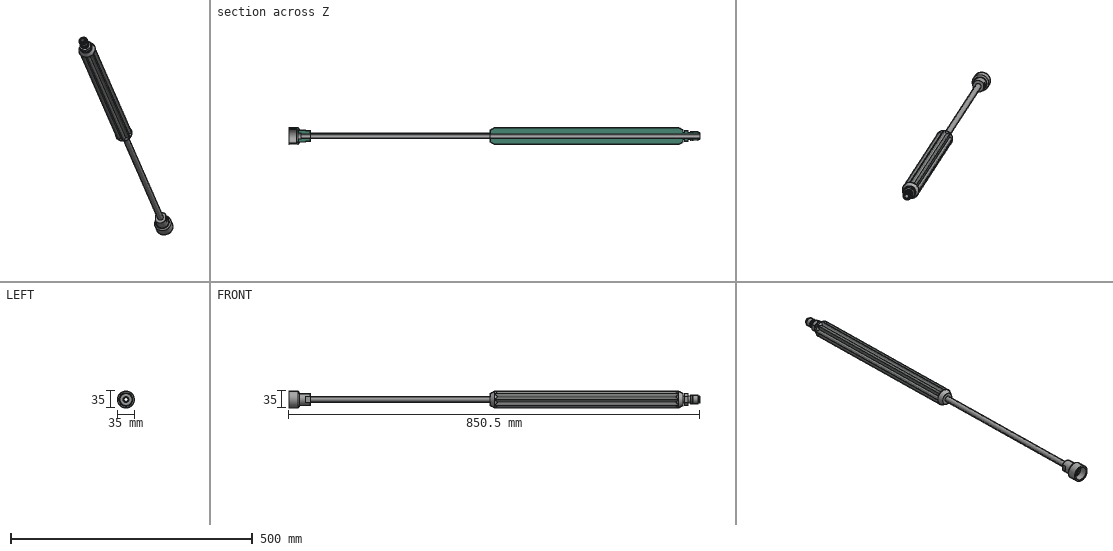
import cadquery as cq
import math

total_length = 850.5

cup_diameter = 35.0
cup_length = 19.5
cup_shoulder_diameter = 28.0
cup_shoulder_end = 22.0
collar_diameter = 25.0
collar_end = 44.5
wrench_flat_size = 22.0
wrench_flat_start = 35.0

socket_mouth_diameter = 28.0
socket_mouth_depth = 16.0
socket_diameter = 25.0
socket_depth = 19.5
seat_diameter = 12.0
seat_depth = 25.0

tube_diameter = 12.0
bore_diameter = 8.2

grip_start = 416.5
grip_end = 815.6
grip_diameter = 35.0
grip_end_diameter = 25.0
grip_cone_angle = 28.0
grip_cone_length = (grip_diameter - grip_end_diameter) / 2 / math.tan(math.radians(grip_cone_angle))
rib_count = 8
groove_runout_angle = 35.0
valley_radius = 13.4
crest_half_width = 2.3
crest_flank_angle = 38.0

hexagon_size = 22.0
hexagon_start = 818.2
hexagon_end = 826.0
neck_diameter = 15.2
plug_diameter = 17.8
plug_start = 831.0
plug_groove_start = 833.5
plug_groove_end = 836.0
plug_shoulder = 846.5
plug_nose_diameter = 15.2
plug_tip_start = 848.5
plug_tip_diameter = 13.0


def cylinder(diameter, start, end):
    """Round bar along X."""
    return cq.Workplane("YZ").workplane(offset=start).circle(diameter / 2).extrude(end - start)


def revolve_about_x(points):
    """Solid of revolution from (X, radius) points."""
    return cq.Workplane("XY").polyline(points).close().revolve(360, (0, 0, 0), (1, 0, 0))


def make_connector():
    """Cup, tapered shoulder and collar with two wrench flats facing -Y and +Y."""
    cup_radius = cup_diameter / 2
    collar_radius = collar_diameter / 2
    body = revolve_about_x([
        (0, 0),
        (0, cup_radius),
        (cup_length, cup_radius),
        (cup_shoulder_end, cup_shoulder_diameter / 2),
        (cup_shoulder_end, collar_radius),
        (collar_end, collar_radius),
        (collar_end, 0),
    ])
    flat_length = collar_end - wrench_flat_start
    flat_depth = collar_radius - wrench_flat_size / 2
    for side in (-1, 1):
        flat_cutter = cq.Workplane("XY").box(flat_length, flat_depth, collar_diameter).translate(
            ((wrench_flat_start + collar_end) / 2, side * (wrench_flat_size + flat_depth) / 2, 0)
        )
        body = body.cut(flat_cutter)
    return body


def rib_outline():
    """Star outline: each rib has a crest, two blunt crest flanks and two steeper walls."""
    crest_radius = grip_diameter / 2
    shoulder_height = crest_radius - crest_half_width * math.tan(math.radians(crest_flank_angle))
    shoulder_radius = math.hypot(shoulder_height, crest_half_width)
    shoulder_angle = math.atan2(crest_half_width, shoulder_height)
    pitch = 2 * math.pi / rib_count
    points = []
    for rib in range(rib_count):
        rib_angle = rib * pitch
        for radius, angle in (
            (shoulder_radius, rib_angle - shoulder_angle),
            (crest_radius, rib_angle),
            (shoulder_radius, rib_angle + shoulder_angle),
            (valley_radius, rib_angle + pitch / 2),
        ):
            points.append((radius * math.cos(angle), radius * math.sin(angle)))
    return points


def make_grip_end(tip, inward):
    """Cone widening from the tip, then a taper down to the groove valleys; inward is +1 or -1 along X."""
    radius = grip_diameter / 2
    ribs_limit = tip + inward * grip_cone_length
    runout_length = (radius - valley_radius) / math.tan(math.radians(groove_runout_angle))
    valley_limit = ribs_limit + inward * runout_length
    return revolve_about_x([
        (tip, 0),
        (tip, grip_end_diameter / 2),
        (ribs_limit, radius),
        (valley_limit, valley_radius),
        (valley_limit, 0),
    ])


def make_grip():
    """Ribbed bar with conical ends; the grooves between its ribs run out before each cone."""
    ribs_start = grip_start + grip_cone_length
    ribs_length = grip_end - grip_start - 2 * grip_cone_length
    ribs = (
        cq.Workplane("YZ").workplane(offset=ribs_start)
        .polyline(rib_outline()).close().extrude(ribs_length)
    )
    return ribs.union(make_grip_end(grip_start, 1)).union(make_grip_end(grip_end, -1))


def make_hexagon():
    """Hexagon with its corners toward +Z and -Z."""
    side_count = 6
    corner_diameter = hexagon_size / math.cos(math.pi / side_count)
    return (
        cq.Workplane("YZ").workplane(offset=hexagon_start)
        .transformed(rotate=(0, 0, 90))
        .polygon(side_count, corner_diameter).extrude(hexagon_end - hexagon_start)
    )


def make_plug():
    """Neck and grooved plug with a stepped, tapered tip."""
    neck_radius = neck_diameter / 2
    plug_radius = plug_diameter / 2
    nose_radius = plug_nose_diameter / 2
    return revolve_about_x([
        (grip_end, 0),
        (grip_end, neck_radius),
        (plug_start, neck_radius),
        (plug_start, plug_radius),
        (plug_groove_start, plug_radius),
        (plug_groove_start, neck_radius),
        (plug_groove_end, neck_radius),
        (plug_groove_end, plug_radius),
        (plug_shoulder, plug_radius),
        (plug_shoulder, nose_radius),
        (plug_tip_start, nose_radius),
        (total_length, plug_tip_diameter / 2),
        (total_length, 0),
    ])


def cut_bores(body):
    """Stepped socket at X = 0 and the bore through the whole lance."""
    for diameter, depth in (
        (socket_mouth_diameter, socket_mouth_depth),
        (socket_diameter, socket_depth),
        (seat_diameter, seat_depth),
        (bore_diameter, total_length),
    ):
        body = body.cut(cylinder(diameter, 0, depth))
    return body


lance = make_connector()
lance = lance.union(cylinder(tube_diameter, collar_end, grip_start))
lance = lance.union(make_grip())
lance = lance.union(make_plug())
lance = lance.union(make_hexagon())
result = cut_bores(lance)